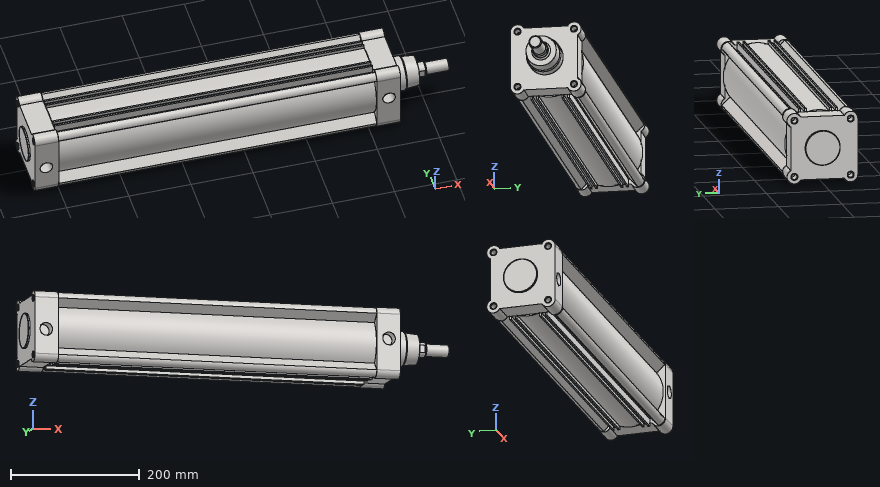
import cadquery as cq
import math


total_length = 683.0
boss_height = 3.0
rear_cap_length = 38.0
front_cap_length = 38.0
front_face_x = 588.0
rod_tip_x = total_length - boss_height
thread_length = 37.0

cap_width = 112.0
corner_radius = 11.5
corner_offset = cap_width / 2 - corner_radius
cap_flat_offset = 50.0
boss_radius = 27.5
boss_chamfer = 0.7
mount_hole_diameter = 8.5
mount_hole_rim_diameter = 11.0
mount_hole_depth = 20.0

port_diameter = 20.0
port_depth = 20.0
port_offset_z = 5.5
rear_port_x = 18.0
front_port_x = front_face_x - 18.5

tube_radius = 52.5
barrel_half_width = 55.0
barrel_corner_radius = 10.5
crease_offset = barrel_half_width - barrel_corner_radius
flank_end = 32.0
rail_center = 24.5
rail_width = 12.0
rail_top = 54.8
rail_slot_width = 6.5
rail_slot_depth = 5.0

collar_length = 19.5
collar_chamfer = 2.0
collar_nose_length = 20.5
nose_base_radius = 25.7
nose_tip_radius = 24.0
wiper_length = 2.5
wiper_base_radius = 14.8

rod_radius = 12.0
thread_radius = 10.0
rod_chamfer = 2.0
tip_chamfer = 1.5
wrench_size = 21.0
wrench_flat_length = 9.0

barrel_length = front_face_x - front_cap_length - rear_cap_length
collar_end_x = front_face_x + collar_length
nose_end_x = collar_end_x + collar_nose_length
wiper_end_x = nose_end_x + wiper_length
shoulder_x = rod_tip_x - thread_length


def section(x):
    """Sketch plane across the cylinder at X = x, with local axes Y and Z."""
    return cq.Workplane("YZ", origin=(x, 0, 0))


def make_cap(rear_x, length):
    """Block with four round corner lobes, flush with the lobes on the -Y port face."""
    corners = section(rear_x).rect(2 * corner_offset, 2 * corner_offset, forConstruction=True)
    lobes = corners.vertices().circle(corner_radius).extrude(length)
    block = section(rear_x).rect(2 * cap_flat_offset, 2 * cap_flat_offset).extrude(length)
    port_pad_width = cap_width / 2
    port_pad = (
        section(rear_x)
        .center(-port_pad_width / 2, 0)
        .rect(port_pad_width, 2 * corner_offset)
        .extrude(length)
    )
    return block.union(port_pad).union(lobes)


def mount_holes(face_x, depth):
    """Four blind holes with countersunk rims, one in each lobe; a negative depth runs toward -X."""
    rim_depth = math.copysign((mount_hole_rim_diameter - mount_hole_diameter) / 2, depth)
    profile = (
        cq.Workplane("XY")
        .lineTo(0, mount_hole_rim_diameter / 2)
        .lineTo(rim_depth, mount_hole_diameter / 2)
        .lineTo(depth, mount_hole_diameter / 2)
        .lineTo(depth, 0)
        .close()
    )
    hole = profile.revolve(360, (0, 0, 0), (1, 0, 0))
    holes = cq.Workplane("XY")
    for y in (-corner_offset, corner_offset):
        for z in (-corner_offset, corner_offset):
            holes = holes.add(hole.translate((face_x, y, z)))
    return holes.combine()


def port(x, z):
    """Blind air port entering from the -Y face."""
    face = cq.Workplane("XZ", origin=(x, -cap_width / 2, z))
    return face.circle(port_diameter / 2).extrude(-port_depth)


def make_rear_cap():
    boss = section(0).circle(boss_radius).extrude(-boss_height)
    boss = boss.faces("<X").chamfer(boss_chamfer)
    cap = make_cap(0, rear_cap_length).union(boss)
    return cap.cut(mount_holes(0, mount_hole_depth)).cut(port(rear_port_x, -port_offset_z))


def make_collar():
    """Guide collar with a tapered nose and a wiper ring, turned about X."""
    profile = (
        cq.Workplane("XY")
        .moveTo(front_face_x - front_cap_length / 2, 0)
        .lineTo(front_face_x - front_cap_length / 2, boss_radius)
        .lineTo(collar_end_x - collar_chamfer, boss_radius)
        .lineTo(collar_end_x, nose_base_radius)
        .lineTo(nose_end_x, nose_tip_radius)
        .lineTo(nose_end_x, wiper_base_radius)
        .lineTo(wiper_end_x, rod_radius)
        .lineTo(wiper_end_x, 0)
        .close()
    )
    return profile.revolve(360, (0, 0, 0), (1, 0, 0))


def make_front_cap():
    rear_x = front_face_x - front_cap_length
    rod_hole = section(rear_x).circle(rod_radius).extrude(wiper_end_x - rear_x)
    cap = make_cap(rear_x, front_cap_length).union(make_collar())
    cap = cap.cut(mount_holes(front_face_x, -mount_hole_depth))
    return cap.cut(port(front_port_x, port_offset_z)).cut(rod_hole)


def make_corner(angle):
    """Rounded barrel corner whose flat flanks run into the tube, turned by angle about X."""
    flank_foot = math.sqrt(tube_radius**2 - flank_end**2)
    arc_middle = crease_offset + barrel_corner_radius * math.sqrt(0.5)
    corner = (
        section(rear_cap_length)
        .moveTo(0, 0)
        .lineTo(flank_foot, flank_end)
        .lineTo(barrel_half_width, crease_offset)
        .threePointArc((arc_middle, arc_middle), (crease_offset, barrel_half_width))
        .lineTo(flank_end, flank_foot)
        .close()
        .extrude(barrel_length)
    )
    return corner.rotate((0, 0, 0), (1, 0, 0), angle)


def make_barrel():
    barrel = section(rear_cap_length).circle(tube_radius).extrude(barrel_length)
    for quarter in range(4):
        barrel = barrel.union(make_corner(90 * quarter))
    rail_centers = [(-rail_center, 0), (rail_center, 0)]
    rails = section(rear_cap_length).pushPoints(rail_centers).rect(rail_width, 2 * rail_top)
    barrel = barrel.union(rails.extrude(barrel_length))
    slot_center_z = rail_top - rail_slot_depth / 2
    slot_centers = [(y, z) for y in (-rail_center, rail_center) for z in (-slot_center_z, slot_center_z)]
    slots = section(rear_cap_length).pushPoints(slot_centers).rect(rail_slot_width, rail_slot_depth)
    return barrel.cut(slots.extrude(barrel_length))


def make_piston_rod():
    """Rod with two wrench flats and a smaller plain end where the thread sits."""
    rod_start_x = front_face_x - front_cap_length
    shank = section(rod_start_x).circle(rod_radius).extrude(shoulder_x - rod_start_x)
    shank = shank.faces(">X").chamfer(rod_chamfer)
    thread = section(shoulder_x).circle(thread_radius).extrude(thread_length)
    thread = thread.faces(">X").chamfer(tip_chamfer)
    wrench_cut_width = 4 * rod_radius
    flat_zone = section(wiper_end_x).rect(wrench_cut_width, wrench_cut_width).extrude(wrench_flat_length)
    kept = section(wiper_end_x).rect(wrench_size, wrench_cut_width).extrude(wrench_flat_length)
    return shank.union(thread).cut(flat_zone.cut(kept))


rear_cap = make_rear_cap()
barrel = make_barrel()
front_cap = make_front_cap()
piston_rod = make_piston_rod()

result = cq.Compound.makeCompound(
    [rear_cap.val(), barrel.val(), front_cap.val(), piston_rod.val()]
)